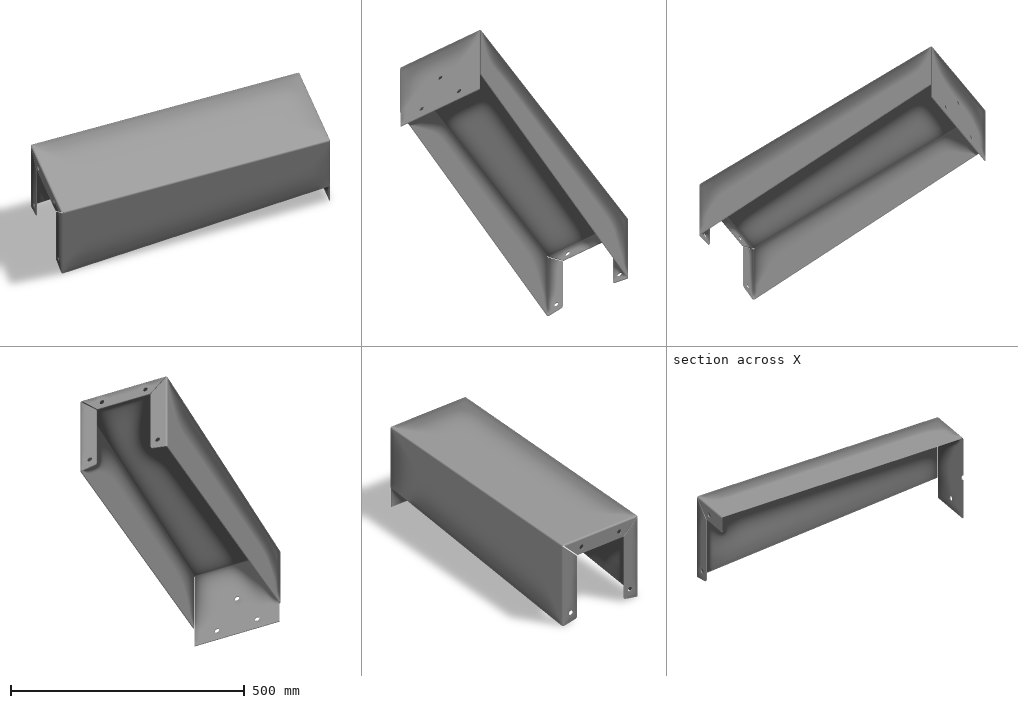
import cadquery as cq
import math

width = 203.0
length = 609.5
height = 203.0

thickness = 2.0
bend_radius = 4.0
inner_bend_radius = bend_radius - thickness

side_rise = 50.5

flange_depth = 38.5
mitre_gap = 2.5
flange_end_rise = 7.0
flange_corner_radius = 5.5

back_slit = 0.3

back_plate_inset = 2.5

hole_diameter = 11.0
top_hole_x = 50.5
top_hole_drop = 22.0
low_hole_height = 25.5
flange_low_hole_x = 79.0
back_low_hole_x = 47.0

half_width = width / 2
opening_half_width = half_width - flange_depth
opening_top = height - flange_depth


def make_rounded_block(inset, radius):
    """Block inset from the outer faces, rounded along its top and front vertical edges."""
    return (
        cq.Workplane("XY")
        .box(width - 2 * inset, length - 2 * inset, height - inset, centered=(True, False, False))
        .translate((0, inset, 0))
        .edges(">Z or (|Z and <Y)")
        .fillet(radius)
    )


def make_shell():
    """Box open underneath, with rounded bends along the top and the front corners."""
    outer = make_rounded_block(0, bend_radius)
    inner = make_rounded_block(thickness, inner_bend_radius)
    return outer.cut(inner)


def make_side_taper():
    """Wedge below the sloping side walls, stopping at the back plate."""
    back_inside = length - thickness
    return (
        cq.Workplane("YZ")
        .moveTo(bend_radius, 0)
        .lineTo(back_inside, 0)
        .lineTo(back_inside, side_rise)
        .close()
        .extrude(half_width, both=True)
    )


def make_front_opening():
    """Opening framed by the three front flanges, including their sloping lower ends."""
    bend_edge = half_width - bend_radius
    opening = (
        cq.Workplane("XZ")
        .moveTo(-bend_edge, 0)
        .lineTo(-opening_half_width, flange_end_rise)
        .lineTo(-opening_half_width, opening_top)
        .lineTo(opening_half_width, opening_top)
        .lineTo(opening_half_width, flange_end_rise)
        .lineTo(bend_edge, 0)
        .close()
        .extrude(-bend_radius)
    )
    lower_corners = cq.selectors.BoxSelector(
        (-half_width, -bend_radius, flange_end_rise / 2),
        (half_width, length, 2 * flange_end_rise),
    )
    return opening.edges("|Y").edges(lower_corners).fillet(flange_corner_radius)


def make_mitre(side):
    """Diagonal gap between the top and side flanges, running out through the corner."""
    centre_inset = flange_depth / 2
    return (
        cq.Workplane("XY")
        .box(flange_depth * math.sqrt(2) + mitre_gap, 2 * bend_radius, mitre_gap)
        .rotate((0, 0, 0), (0, 1, 0), -45 * side)
        .translate((side * (half_width - centre_inset), 0, height - centre_inset))
    )


def make_back_relief(side):
    """Slit in front of the back plate and a strip trimmed from its side edge."""
    back_inside = length - thickness
    bend_centre_x = side * (half_width - bend_radius / 2)
    slit = (
        cq.Workplane("XY")
        .box(bend_radius, back_slit, height - bend_radius, centered=(True, False, False))
        .translate((bend_centre_x, back_inside - back_slit, 0))
    )
    trim = (
        cq.Workplane("XY")
        .box(2 * back_plate_inset, thickness, height, centered=(True, False, False))
        .translate((side * half_width, back_inside, 0))
    )
    return slit.union(trim)


def make_holes(points, start_y):
    """Cutters along Y through a single sheet near start_y."""
    return (
        cq.Workplane("XZ", origin=(0, start_y, 0))
        .pushPoints(points)
        .circle(hole_diameter / 2)
        .extrude(thickness, both=True)
    )


flange_holes = []
back_holes = [(0, height / 2)]
for side in (-1, 1):
    flange_holes.append((side * top_hole_x, height - top_hole_drop))
    flange_holes.append((side * flange_low_hole_x, low_hole_height))
    back_holes.append((side * back_low_hole_x, low_hole_height))

result = make_shell().cut(make_side_taper()).cut(make_front_opening())
for side in (-1, 1):
    result = result.cut(make_mitre(side)).cut(make_back_relief(side))
result = result.cut(make_holes(flange_holes, 0)).cut(make_holes(back_holes, length))